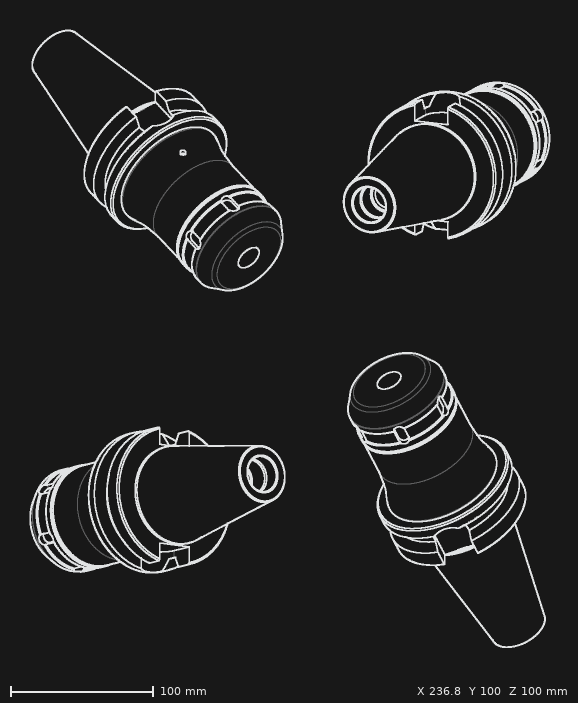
import cadquery as cq
import math

gauge_x = 101.8
gauge_radius = 34.93
taper_ratio = 7 / 24
taper_tip_radius = gauge_radius - gauge_x * taper_ratio / 2
tip_chamfer = 0.7
neck_radius = 34.45
neck_start_x = 102.5

flange_start_x = 104.7
flange_end_x = 140.2
flange_radius = 50.0
drive_ring_radius = 49.5
groove_floor_radius = 42.5
groove_floor_start_x = 121.5
groove_floor_end_x = 127.6
groove_flank_slope = math.tan(math.radians(30))
flange_chamfer = 1.2

collar_radius = 41.7
collar_end_x = 141.4
body_radius = 36.2
body_start_x = 171.2
body_end_x = 200.5
body_chamfer = 0.5

nut_gap_radius = 34.5
nut_start_x = 202.0
nut_radius = 36.7
nut_chamfer = 0.5
band_radius = 35.8
band_start_x = 208.5
band_end_x = 218.8
nose_start_x = 224.7
nose_angle = math.radians(30)
nose_fillet = 3.8
length = 236.8

mouth_radius = 13.38
mouth_depth = 0.7
pilot_radius = 12.5
pilot_depth = 12.0
pilot_cone_end = 13.7
thread_radius = 11.95
thread_depth = 28.5
thread_end_radius = 10.7
through_radius = 9.0

keyway_width = 25.5
keyway_floor_z = 35.3
keyway_tip_x = 135.7

slot_count = 6
slot_start_x = 206.5
slot_end_x = 222.0
slot_width = 7.8
slot_floor_radius = 32.2

cut_clearance = 2.4

screw_x = 156.5
screw_diameter = 4.0
screw_tip_diameter = 3.3
screw_depth = 7.0
screw_tip_depth = 9.5


def revolved(profile):
    """Turn a closed profile, drawn as (x, radius), about the X axis."""
    return profile.close().revolve(360, (0, 0, 0), (1, 0, 0))


def turned_body():
    """Solid of revolution from the taper tip to the nut face."""
    front_flank = (drive_ring_radius - groove_floor_radius) * groove_flank_slope
    rear_flank = (flange_radius - groove_floor_radius) * groove_flank_slope
    run = body_start_x - collar_end_x
    drop = collar_radius - body_radius
    blend_radius = (run**2 + drop**2) / (2 * drop)
    half_angle = math.asin(run / blend_radius) / 2
    blend_mid = (
        body_start_x - blend_radius * math.sin(half_angle),
        body_radius + blend_radius * (1 - math.cos(half_angle)),
    )
    cone_start_radius = nut_radius - nut_chamfer * math.tan(nose_angle / 2)
    cone_end_x = length - nose_fillet * (1 - math.sin(nose_angle))
    cone_end_radius = cone_start_radius - (cone_end_x - nose_start_x) * math.tan(nose_angle)
    fillet_centre_radius = cone_end_radius - nose_fillet * math.cos(nose_angle)

    def fillet_point(angle):
        return (
            length - nose_fillet * (1 - math.sin(angle)),
            fillet_centre_radius + nose_fillet * math.cos(angle),
        )

    profile = (
        cq.Workplane("XY")
        .moveTo(0, 0)
        .lineTo(0, taper_tip_radius - tip_chamfer)
        .lineTo(tip_chamfer, taper_tip_radius + tip_chamfer * taper_ratio / 2)
        .lineTo(gauge_x, gauge_radius)
        .lineTo(neck_start_x, neck_radius)
        .lineTo(flange_start_x, neck_radius)
        .lineTo(flange_start_x, drive_ring_radius - flange_chamfer)
        .lineTo(flange_start_x + flange_chamfer, drive_ring_radius)
        .lineTo(groove_floor_start_x - front_flank, drive_ring_radius)
        .lineTo(groove_floor_start_x, groove_floor_radius)
        .lineTo(groove_floor_end_x, groove_floor_radius)
        .lineTo(groove_floor_end_x + rear_flank, flange_radius)
        .lineTo(flange_end_x - flange_chamfer, flange_radius)
        .lineTo(flange_end_x, flange_radius - flange_chamfer)
        .lineTo(flange_end_x, collar_radius)
        .lineTo(collar_end_x, collar_radius)
        .threePointArc(blend_mid, (body_start_x, body_radius))
        .lineTo(body_end_x - body_chamfer, body_radius)
        .lineTo(body_end_x, body_radius - body_chamfer)
        .lineTo(body_end_x, nut_gap_radius)
        .lineTo(nut_start_x, nut_gap_radius)
        .lineTo(nut_start_x, nut_radius - nut_chamfer)
        .lineTo(nut_start_x + nut_chamfer, nut_radius)
        .lineTo(band_start_x - nut_chamfer, nut_radius)
        .lineTo(band_start_x, nut_radius - nut_chamfer)
        .lineTo(band_start_x, band_radius)
        .lineTo(band_end_x, band_radius)
        .lineTo(band_end_x, nut_radius - nut_chamfer)
        .lineTo(band_end_x + nut_chamfer, nut_radius)
        .lineTo(nose_start_x - nut_chamfer, nut_radius)
        .lineTo(nose_start_x, cone_start_radius)
        .lineTo(*fillet_point(nose_angle))
        .threePointArc(fillet_point(nose_angle / 2 + math.pi / 4), fillet_point(math.pi / 2))
        .lineTo(length, 0)
    )
    return revolved(profile)


def bore():
    """Stepped bore entered from the small end of the taper."""
    cone_end = thread_depth + thread_end_radius - through_radius
    profile = (
        cq.Workplane("XY")
        .moveTo(0, 0)
        .lineTo(0, mouth_radius)
        .lineTo(mouth_depth, pilot_radius)
        .lineTo(pilot_depth, pilot_radius)
        .lineTo(pilot_cone_end, thread_radius)
        .lineTo(thread_depth, thread_radius)
        .lineTo(thread_depth, thread_end_radius)
        .lineTo(cone_end, through_radius)
        .lineTo(length, through_radius)
        .lineTo(length, 0)
    )
    return revolved(profile)


def keyway():
    """Round-ended key slot on the +Z side, open toward the shank."""
    end_radius = keyway_width / 2
    end_centre_x = keyway_tip_x - end_radius
    return (
        cq.Workplane("XY", origin=(0, 0, keyway_floor_z))
        .moveTo(gauge_x, -end_radius)
        .lineTo(end_centre_x, -end_radius)
        .threePointArc((keyway_tip_x, 0), (end_centre_x, end_radius))
        .lineTo(gauge_x, end_radius)
        .close()
        .extrude(flange_radius - keyway_floor_z + cut_clearance)
    )


def spanner_slot():
    """Flat-floored slot on the +Z side of the nut."""
    return (
        cq.Workplane("XY", origin=((slot_start_x + slot_end_x) / 2, 0, slot_floor_radius))
        .slot2D(slot_end_x - slot_start_x, slot_width)
        .extrude(nut_radius - slot_floor_radius + cut_clearance)
    )


def screw_hole():
    """Stepped blind hole drilled down from +Z into the curved body."""
    top = cq.Workplane("XY", origin=(screw_x, 0, collar_radius))
    wide = top.circle(screw_diameter / 2).extrude(-screw_depth)
    tip = top.circle(screw_tip_diameter / 2).extrude(-screw_tip_depth)
    return wide.union(tip)


def turned_about_axis(tool, angle):
    return tool.rotate((0, 0, 0), (1, 0, 0), angle)


result = turned_body().cut(bore())
for angle in (0, 180):
    result = result.cut(turned_about_axis(keyway(), angle))
for index in range(slot_count):
    result = result.cut(turned_about_axis(spanner_slot(), index * 360 / slot_count))
result = result.cut(screw_hole())